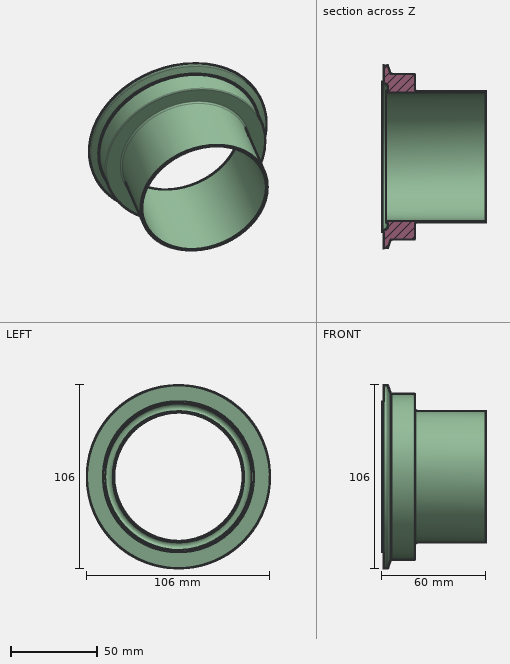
import cadquery as cq

flange_radius = 53.0
hub_radius = 48.0
lip_radius = 43.7
groove_outer_radius = 42.4
pipe_radius = 38.2
groove_inner_radius = 38.0
bore_radius = 37.1

flange_face = 1.0
inner_land = 2.4
taper_start = 3.4
taper_end = 5.1
hub_end = 19.1
pipe_end = 60.0

groove_width = groove_outer_radius - groove_inner_radius
groove_drop = inner_land - flange_face
groove_arc_radius = (groove_width**2 + groove_drop**2) / (2 * groove_width)

edge_fillet = 0.6
pipe_fillet = 1.0


def make_body():
    """Revolve the stepped ferrule wall, with its gasket groove, about X."""
    profile = (
        cq.Workplane("XY")
        .moveTo(inner_land, bore_radius)
        .lineTo(inner_land, groove_inner_radius)
        .threePointArc(
            (flange_face + groove_arc_radius, groove_outer_radius - groove_arc_radius),
            (flange_face, groove_outer_radius),
        )
        .lineTo(0, groove_outer_radius)
        .lineTo(0, lip_radius)
        .lineTo(flange_face, lip_radius)
        .lineTo(flange_face, flange_radius)
        .lineTo(taper_start, flange_radius)
        .lineTo(taper_end, hub_radius)
        .lineTo(hub_end, hub_radius)
        .lineTo(hub_end, pipe_radius)
        .lineTo(pipe_end, pipe_radius)
        .lineTo(pipe_end, bore_radius)
        .close()
    )
    return profile.revolve(360, (0, 0, 0), (1, 0, 0))


def round_edge(body, x, edge_radius, fillet_radius):
    """Fillet the circular edge that lies at position x."""
    tolerance = 0.01

    def is_wanted(edge):
        at_x = abs(edge.Center().x - x) < tolerance
        return at_x and abs(edge.radius() - edge_radius) < tolerance

    return body.edges("%CIRCLE").filter(is_wanted).fillet(fillet_radius)


def fillet_edges(body):
    """Round the flange rim, both hub ends and the pipe root."""
    body = round_edge(body, taper_start, flange_radius, edge_fillet)
    body = round_edge(body, taper_end, hub_radius, edge_fillet)
    body = round_edge(body, hub_end, hub_radius, edge_fillet)
    return round_edge(body, hub_end, pipe_radius, pipe_fillet)


result = fillet_edges(make_body())